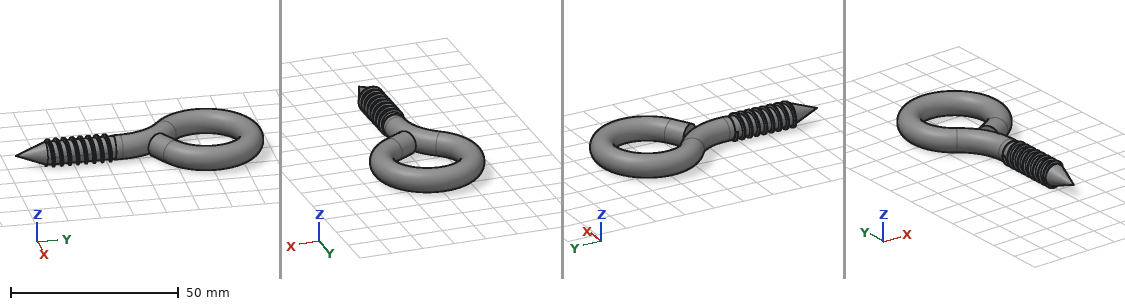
import cadquery as cq
import math

total_length = 75.15
eye_width = 34.3
wire_diameter = 7.4

neck_end_y = -26.1
shoulder_y = -28.0
cone_start_y = -48.85

tail_angle = -60.0
tail_length = 6.6

core_diameter = 7.0
thread_diameter = 8.35
thread_pitch = 2.5
thread_turns = 8.5
thread_root_width = 1.1
thread_crest_width = 0.4
root_overlap = 0.15

ring_radius = (eye_width - wire_diameter) / 2
tip_y = eye_width / 2 - total_length
thread_length = thread_pitch * thread_turns
thread_start_y = shoulder_y - thread_root_width / 2

neck_radius = (neck_end_y**2 - ring_radius**2) / (2 * ring_radius)
neck_angle = math.atan2(neck_end_y, -neck_radius)
neck_sweep = math.atan2(-neck_end_y, neck_radius)


def on_circle(center, radius, angle):
    """Point of a circle at an angle in radians."""
    return (center[0] + radius * math.cos(angle), center[1] + radius * math.sin(angle))


def make_wire_body():
    """Round wire swept along the shank, neck, ring and straight tail."""
    ring_center = (0, 0)
    neck_center = (-neck_radius, neck_end_y)
    tail_turn = math.radians(tail_angle)
    ring_start = on_circle(ring_center, ring_radius, neck_angle)
    ring_end = on_circle(ring_center, ring_radius, tail_turn)
    tail_end = (
        ring_end[0] + tail_length * math.sin(tail_turn),
        ring_end[1] - tail_length * math.cos(tail_turn),
    )
    path = (
        cq.Workplane("XY")
        .moveTo(0, shoulder_y)
        .lineTo(0, neck_end_y)
        .threePointArc(on_circle(neck_center, neck_radius, neck_sweep / 2), ring_start)
        .threePointArc((0, ring_radius), ring_end)
        .lineTo(*tail_end)
    )
    return cq.Workplane("XZ", origin=(0, shoulder_y, 0)).circle(wire_diameter / 2).sweep(path)


def make_core():
    """Thread core with its conical point, turned about the Y axis."""
    core_radius = core_diameter / 2
    return (
        cq.Workplane("XY")
        .moveTo(0, neck_end_y)
        .lineTo(core_radius, neck_end_y)
        .lineTo(core_radius, cone_start_y)
        .lineTo(0, tip_y)
        .close()
        .revolve(360, (0, 0), (0, 1))
    )


def make_thread():
    """Right-handed ridge that starts on the -X side and advances toward the point."""
    root_radius = core_diameter / 2 - root_overlap
    crest_radius = thread_diameter / 2
    helix = cq.Wire.makeHelix(thread_pitch, thread_length, root_radius)
    ridge = (
        cq.Workplane("XZ")
        .moveTo(root_radius, -thread_root_width / 2)
        .lineTo(crest_radius, -thread_crest_width / 2)
        .lineTo(crest_radius, thread_crest_width / 2)
        .lineTo(root_radius, thread_root_width / 2)
        .close()
        .sweep(cq.Workplane(helix), isFrenet=True)
    )
    shank_plane = cq.Plane(origin=(0, thread_start_y, 0), xDir=(-1, 0, 0), normal=(0, -1, 0))
    placed_ridge = cq.Workplane(ridge.val().moved(cq.Location(shank_plane)))
    core_length = shoulder_y - cone_start_y
    thread_zone = (
        cq.Workplane("XZ", origin=(0, shoulder_y, 0))
        .circle(thread_diameter)
        .extrude(core_length)
    )
    return placed_ridge.intersect(thread_zone)


result = make_wire_body().union(make_core()).union(make_thread())